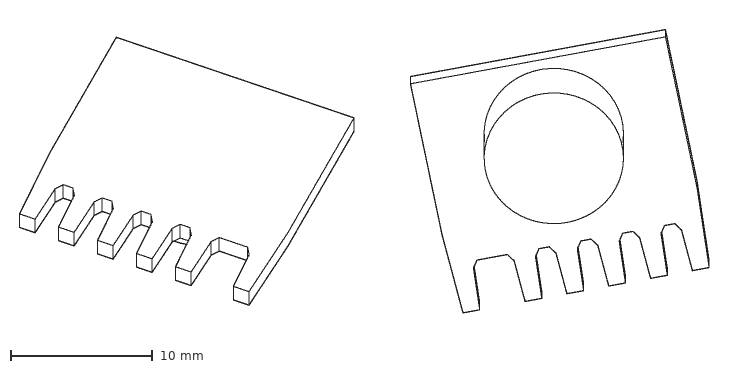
import cadquery as cq
import math

plate_width = 18.31
plate_length = 17.6
plate_thickness = 1.5
side_taper_length = 6.06
taper_slope = math.tan(math.radians(3.0))

tip_width = 1.2
tooth_pitch = 3.0
regular_gap_count = 4
slot_depth = 3.7
slot_corner_width = 0.37
slot_corner_depth = 0.57

boss_diameter = 9.81
boss_height = 5.0
boss_x = -0.04
boss_from_back = 5.62

tip_edge_x = plate_width / 2 - side_taper_length * taper_slope
regular_mouth = tooth_pitch - tip_width


def make_plate():
    """Rectangular plate whose sides taper inward toward the tooth tips."""
    half_width = plate_width / 2
    outline = [
        (-half_width, plate_length),
        (-half_width, side_taper_length),
        (-tip_edge_x, 0),
        (tip_edge_x, 0),
        (half_width, side_taper_length),
        (half_width, plate_length),
    ]
    return cq.Workplane("XY").polyline(outline).close().extrude(plate_thickness)


def make_slot(mouth_left, mouth_right):
    """Through slot that narrows inward and ends in two bevelled corners."""
    shoulder_y = slot_depth - slot_corner_depth
    shoulder_inset = shoulder_y * taper_slope
    floor_inset = shoulder_inset + slot_corner_width
    outline = [
        (mouth_left, 0),
        (mouth_left + shoulder_inset, shoulder_y),
        (mouth_left + floor_inset, slot_depth),
        (mouth_right - floor_inset, slot_depth),
        (mouth_right - shoulder_inset, shoulder_y),
        (mouth_right, 0),
    ]
    return cq.Workplane("XY").polyline(outline).close().extrude(plate_thickness)


def make_boss():
    """Solid cylinder hanging from the underside of the plate."""
    boss_y = plate_length - boss_from_back
    return cq.Workplane("XY").center(boss_x, boss_y).circle(boss_diameter / 2).extrude(-boss_height)


result = make_plate()

first_mouth_left = -tip_edge_x + tip_width
for gap in range(regular_gap_count):
    mouth_left = first_mouth_left + gap * tooth_pitch
    result = result.cut(make_slot(mouth_left, mouth_left + regular_mouth))

wide_mouth_left = first_mouth_left + regular_gap_count * tooth_pitch
result = result.cut(make_slot(wide_mouth_left, tip_edge_x - tip_width))

result = result.union(make_boss())